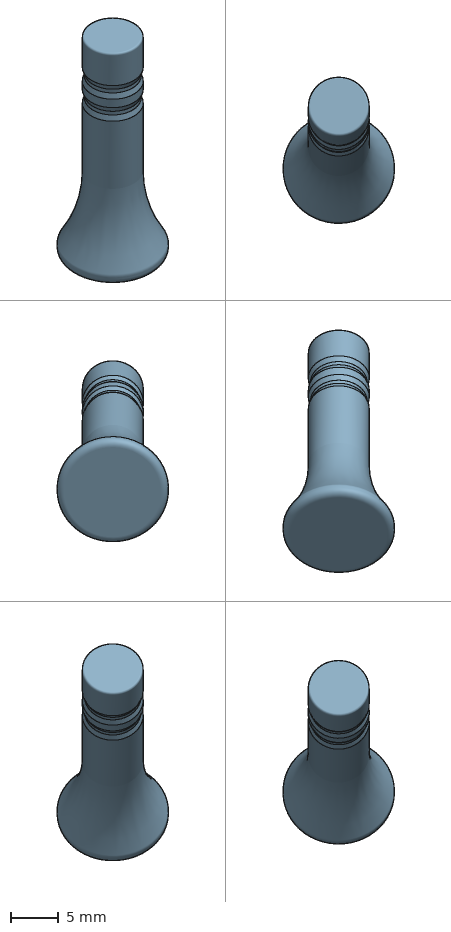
import cadquery as cq
import math

height = 28.45
shaft_radius = 3.2
foot_radius = 5.846
top_fillet = 0.23

flare_top = 10.67
flare_arc_radius = 18.2
rim_upper_fillet = 0.7
rim_lower_fillet = 0.75

groove_tops = (24.3, 21.4)
groove_width = 1.8
groove_floor_width = 0.48
groove_depth = 0.23


def arc_point(center, radius, angle):
    """Point on a circle in the radius-height plane."""
    return (center[0] + radius * math.cos(angle), center[1] + radius * math.sin(angle))


def make_body():
    """Revolved shaft and foot, with the flare tangent to both shaft and rim."""
    flare_center = (shaft_radius + flare_arc_radius, flare_top)

    center_distance = flare_arc_radius + rim_upper_fillet
    rim_center_x = foot_radius - rim_upper_fillet
    tangent_angle = math.acos((flare_center[0] - rim_center_x) / center_distance)
    rim_center = (rim_center_x, flare_top - center_distance * math.sin(tangent_angle))

    rim_middle = arc_point(rim_center, rim_upper_fillet, tangent_angle / 2)
    rim_end = arc_point(rim_center, rim_upper_fillet, tangent_angle)
    flare_middle = arc_point(flare_center, flare_arc_radius, math.pi + tangent_angle / 2)

    lower_center = (foot_radius - rim_lower_fillet, rim_lower_fillet)
    lower_middle = arc_point(lower_center, rim_lower_fillet, -math.pi / 4)

    top_center = (shaft_radius - top_fillet, height - top_fillet)
    top_middle = arc_point(top_center, top_fillet, math.pi / 4)

    profile = (
        cq.Workplane("XZ")
        .lineTo(foot_radius - rim_lower_fillet, 0)
        .threePointArc(lower_middle, (foot_radius, rim_lower_fillet))
        .lineTo(foot_radius, rim_center[1])
        .threePointArc(rim_middle, rim_end)
        .threePointArc(flare_middle, (shaft_radius, flare_top))
        .lineTo(shaft_radius, height - top_fillet)
        .threePointArc(top_middle, (shaft_radius - top_fillet, height))
        .lineTo(0, height)
        .close()
    )
    return profile.revolve(360, (0, 0, 0), (0, 1, 0))


def make_groove(groove_top):
    """Ring-shaped cutter whose trapezoid section narrows toward the axis."""
    floor_radius = shaft_radius - groove_depth
    middle = groove_top - groove_width / 2
    profile = (
        cq.Workplane("XZ")
        .moveTo(shaft_radius, groove_top)
        .lineTo(floor_radius, middle + groove_floor_width / 2)
        .lineTo(floor_radius, middle - groove_floor_width / 2)
        .lineTo(shaft_radius, groove_top - groove_width)
        .close()
    )
    return profile.revolve(360, (0, 0, 0), (0, 1, 0))


result = make_body()
for groove_top in groove_tops:
    result = result.cut(make_groove(groove_top))